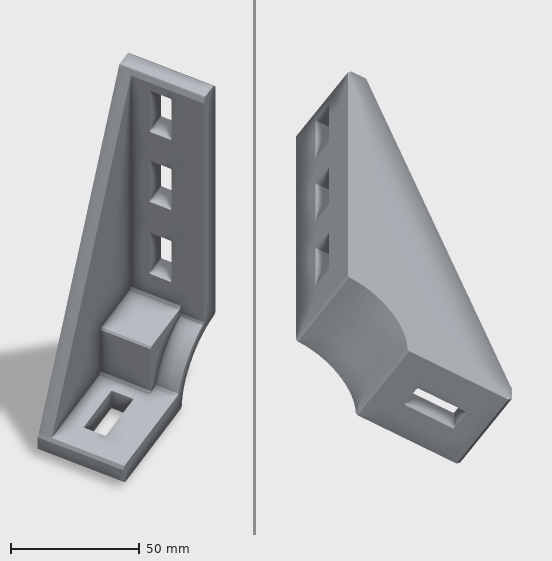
import cadquery as cq

width = 38.0
depth = 75.5
height = 155.5

plate = 9.6
side_wall = 5.8

corner_radius = 27.5
cut_lip = 0.8
outer_edge_chamfer = 1.7

tip_height = 8.1
tip_setback = 1.0
top_edge = 8.4
top_lip = 0.3
top_lip_drop = 0.5
slope_drop = 2.6

hub_radius = 32.0
hub_root_step = 0.6
block_end = 27.8
block_size = 34.5
block_chamfer = 0.8
root = 1.1

slot_center_x = 18.8
slot_width = 9.8
slot_length = 22.9
slot_corner = 0.6
upright_slot_heights = (137.0, 98.1, 58.2)
foot_slot_y = 23.3


def side_profile(points, start_x, end_x):
    """Extrude a Y-Z polygon between two X positions."""
    return (
        cq.Workplane("YZ", origin=(start_x, 0, 0))
        .polyline(points)
        .close()
        .extrude(end_x - start_x)
    )


def outer_body():
    """Full-width outline with the sloped front and chamfered outer edges."""
    return side_profile(
        [
            (outer_edge_chamfer, 0),
            (depth, 0),
            (depth, height - outer_edge_chamfer),
            (depth - outer_edge_chamfer, height),
            (depth - top_edge, height),
            (depth - top_edge - top_lip, height - top_lip_drop),
            (depth - plate, height - slope_drop),
            (tip_setback, plate),
            (0, tip_height),
            (0, outer_edge_chamfer),
        ],
        0,
        width,
    )


def inner_space():
    """Open space in front of the upright, above the foot and beside the gusset."""
    return cq.Workplane("XY").box(width, depth, height, centered=False).translate(
        (side_wall, -plate, plate)
    )


def hub():
    """Solid quarter round in the inner corner, with small sloped roots on both plates."""
    cylinder = cq.Workplane("YZ", origin=(side_wall, depth, 0)).circle(hub_radius).extrude(width - side_wall)
    quadrant = cq.Workplane("XY").box(width, depth, height, centered=False)
    inner_face = plate + hub_root_step
    rise = (hub_radius**2 - inner_face**2) ** 0.5
    upright_root = side_profile(
        [
            (depth - plate, plate),
            (depth - plate, rise + root),
            (depth - inner_face, rise),
            (depth - inner_face, plate),
        ],
        side_wall,
        width,
    )
    foot_root = side_profile(
        [
            (depth - plate, plate),
            (depth - rise - root, plate),
            (depth - rise, inner_face),
            (depth - plate, inner_face),
        ],
        side_wall,
        width,
    )
    return cylinder.intersect(quadrant).union(upright_root).union(foot_root)


def corner_block():
    """Square block beside the gusset, with a chamfered front edge and sloped roots."""
    back = depth - plate
    front = depth - block_size
    return side_profile(
        [
            (back, plate),
            (back, block_size + root),
            (back - root, block_size),
            (front + block_chamfer, block_size),
            (front, block_size - block_chamfer),
            (front, plate + root),
            (front - root, plate),
        ],
        side_wall,
        block_end,
    )


def corner_cut():
    """Concave corner with a small chamfer at each end of the arc."""
    cylinder = cq.Workplane("YZ", origin=(0, depth, 0)).circle(corner_radius).extrude(width)
    reach = corner_radius + cut_lip
    inset = corner_radius - cut_lip
    upright_lip = side_profile([(depth, inset), (depth, reach), (depth - 2 * cut_lip, inset)], 0, width)
    foot_lip = side_profile([(depth - inset, 0), (depth - reach, 0), (depth - inset, 2 * cut_lip)], 0, width)
    return cylinder.union(upright_lip).union(foot_lip)


def slot_cutter():
    """Rounded rectangular cutter, one plate thick, standing on the origin."""
    blank = cq.Workplane("XY").rect(slot_width, slot_length).extrude(plate)
    return blank.edges("|Z").fillet(slot_corner)


result = outer_body().cut(inner_space()).union(hub()).union(corner_block()).cut(corner_cut())

foot_slot = slot_cutter()
result = result.cut(foot_slot.translate((slot_center_x, foot_slot_y, 0)))

upright_slot = slot_cutter().rotate((0, 0, 0), (1, 0, 0), 90)
for slot_z in upright_slot_heights:
    result = result.cut(upright_slot.translate((slot_center_x, depth, slot_z)))